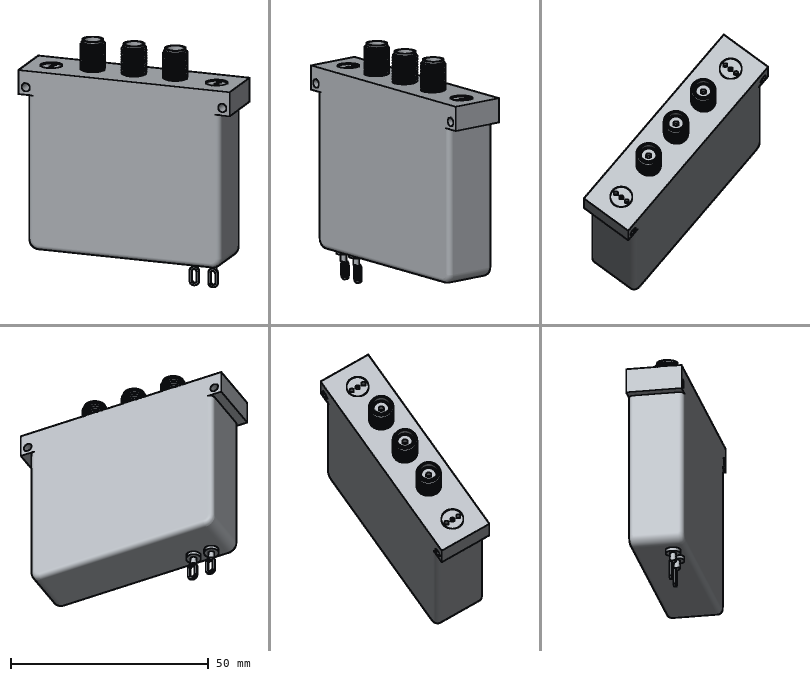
import cadquery as cq

total_height = 62.75
connector_height = 7.9
flange_height = 6.35
terminal_height = 7.85
case_height = total_height - connector_height - flange_height - terminal_height

flange_length = 57.15
depth = 14.3
mount_hole_diameter = 2.2
mount_hole_inset = 2.0
mount_hole_drop = 4.3

case_length = 52.1
case_corner_radius = 2.6
case_edge_radius = 1.3

connector_spacing = 11.15
connector_positions = [-connector_spacing, 0, connector_spacing]
thread_diameter = 6.35
thread_root_diameter = 5.4
turns_per_diameter = 9
thread_pitch = thread_diameter / turns_per_diameter
thread_turns = 11
thread_start = -thread_pitch / 5
thread_base_width = 0.9 * thread_pitch
thread_crest_width = 0.1 * thread_pitch
thread_root_overlap = 0.05
thread_envelope_diameter = thread_diameter + 0.6
neck_length = 0.55
connector_bore_diameter = 4.6
connector_bore_depth = 1.8
insulator_diameter = 3.8
insulator_depth = 1.95
contact_diameter = 1.4
contact_depth = 1.9

recess_offset = 2 * connector_spacing
recess_diameter = 5.6
recess_depth = 0.4
recess_hole_diameter = 1.1
recess_hole_spacing = 1.75
recess_hole_depth = 1.9
centre_shoulder_depth = 0.6
centre_bore_diameter = 0.7

terminal_positions = [15.25, 20.3]
terminal_y = 3.3
collar_diameter = 3.75
collar_height = 0.95
stem_diameter = 1.55
stem_length = 1.95
stem_taper_height = 0.45
eye_width = 2.5
eye_length = 4.95
eye_thickness = 0.55
eye_wall = 0.6


def cylinder(x, y, z, diameter, height):
    """Upright cylinder standing on z; a negative height goes down."""
    return cq.Workplane("XY", origin=(x, y, z)).circle(diameter / 2).extrude(height)


def make_case():
    case = cq.Workplane("XY").box(case_length, depth, case_height, centered=(True, True, False))
    case = case.translate((0, 0, -case_height))
    case = case.edges("|Y and <Z").fillet(case_corner_radius)
    front_and_back = case.faces("<Y or >Y").edges("not >Z")
    return front_and_back.fillet(case_edge_radius)


def make_flange():
    flange = cq.Workplane("XY").box(flange_length, depth, flange_height, centered=(True, True, False))
    mount_hole_x = flange_length / 2 - mount_hole_inset
    mount_hole_z = flange_height - mount_hole_drop
    holes = (
        cq.Workplane("XZ")
        .pushPoints([(-mount_hole_x, mount_hole_z), (mount_hole_x, mount_hole_z)])
        .circle(mount_hole_diameter / 2)
        .extrude(depth, both=True)
    )
    return flange.cut(holes)


def make_thread():
    """Helical ridge starting just below Z = 0, with its top turns tapered away to the neck."""
    root = thread_root_diameter / 2 - thread_root_overlap
    crest = thread_diameter / 2
    helix = cq.Wire.makeHelix(thread_pitch, thread_turns * thread_pitch, thread_root_diameter / 2)
    ridge = (
        cq.Workplane("XZ")
        .moveTo(root, -thread_base_width / 2)
        .lineTo(crest, -thread_crest_width / 2)
        .lineTo(crest, thread_crest_width / 2)
        .lineTo(root, thread_base_width / 2)
        .close()
        .sweep(cq.Workplane(helix), isFrenet=True)
    )
    thread_bottom = thread_start - thread_pitch
    thread_top = connector_height - neck_length
    envelope = cylinder(0, 0, thread_bottom, thread_envelope_diameter, thread_top - thread_bottom)
    envelope = envelope.faces(">Z").chamfer((thread_envelope_diameter - thread_root_diameter) / 2)
    return ridge.translate((0, 0, thread_start)).intersect(envelope)


def make_connector():
    """Connector standing on Z = 0, with the start of its thread sunk below."""
    shell = cylinder(0, 0, 2 * thread_start, thread_root_diameter, connector_height - 2 * thread_start)
    connector = shell.union(make_thread())
    insulator_z = connector_height - insulator_depth
    bores = [
        (connector_height, connector_bore_diameter, connector_bore_depth),
        (connector_height, insulator_diameter, insulator_depth),
        (insulator_z, contact_diameter, contact_depth),
    ]
    for z, diameter, cut_depth in bores:
        connector = connector.cut(cylinder(0, 0, z, diameter, -cut_depth))
    return connector


def cut_recess(body, x):
    floor = flange_height - recess_depth
    body = body.cut(cylinder(x, 0, flange_height, recess_diameter, -recess_depth))
    for y in (-recess_hole_spacing, recess_hole_spacing):
        body = body.cut(cylinder(x, y, floor, recess_hole_diameter, -recess_hole_depth))
    body = body.cut(cylinder(x, 0, floor, recess_hole_diameter, -centre_shoulder_depth))
    return body.cut(cylinder(x, 0, floor, centre_bore_diameter, -recess_hole_depth))


def make_terminal():
    """Terminal hanging from Z = 0: collar, stem with a sloped end, flat eye."""
    stem_radius = stem_diameter / 2
    stem_short_end = -collar_height - stem_length
    stem_long_end = stem_short_end - stem_taper_height
    eye_back = eye_thickness - stem_radius
    collar = cylinder(0, 0, 0, collar_diameter, -collar_height)
    stem = cylinder(0, 0, 0, stem_diameter, stem_long_end)
    stem_outline = (
        cq.Workplane("YZ")
        .moveTo(-stem_radius, 0)
        .lineTo(-stem_radius, stem_long_end)
        .lineTo(eye_back, stem_long_end)
        .lineTo(stem_radius, stem_short_end)
        .lineTo(stem_radius, 0)
        .close()
        .extrude(stem_radius, both=True)
    )
    eye_plane = cq.Workplane("XZ", origin=(0, eye_back, -terminal_height + eye_length / 2))
    eye = eye_plane.slot2D(eye_length, eye_width, 90).extrude(eye_thickness)
    opening = (
        eye_plane.slot2D(eye_length - 2 * eye_wall, eye_width - 2 * eye_wall, 90)
        .extrude(stem_diameter, both=True)
    )
    return collar.union(stem.intersect(stem_outline)).union(eye).cut(opening)


result = make_flange()
for side in (-1, 1):
    result = cut_recess(result, side * recess_offset)
result = result.union(make_case())

connector = make_connector()
for x in connector_positions:
    result = result.union(connector.translate((x, 0, flange_height)))

terminal = make_terminal()
for x in terminal_positions:
    result = result.union(terminal.translate((x, terminal_y, -case_height)))